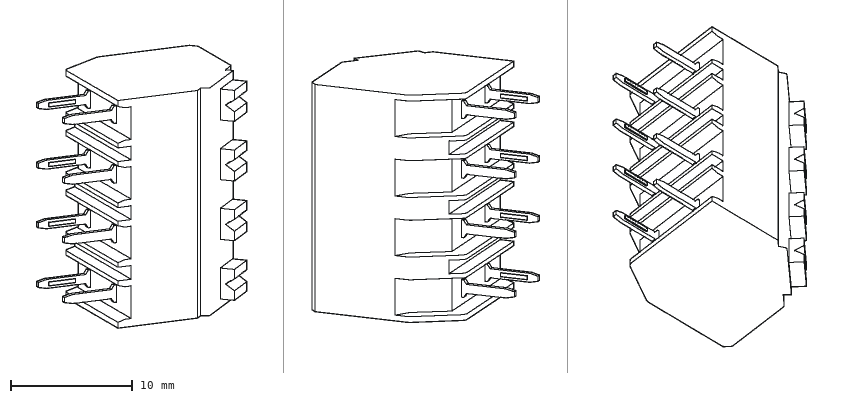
import cadquery as cq
import math

pole_count = 4
height = 19.44
pole_pitch = 5.1
first_pole_z = (height - (pole_count - 1) * pole_pitch) / 2
pole_heights = [first_pole_z + i * pole_pitch for i in range(pole_count)]

width = 12.7
depth = 12.93
back_chamfer = 0.52
slant_x = 2.4
slant_y = 4.06
slant_top_radius = 0.93
slant_bottom_radius = 0.55
groove_start_x = 7.0
groove_start_radius = 0.3
groove_bottom_x = 7.99
tab_x = 8.44
tab_y = 12.45
nub_x = 12.48
nub_radius = 0.23
notch_x = 12.17
notch_y = 7.74

recess_depth = 1.2
recess_corner_x = 2.35
recess_side_y = 5.29
pole_recess_height = 3.15
flange_chamfer_height = 0.185
flange_chamfer_width = 0.62
slot_height = 1.17

button_length = 3.0
button_height = 1.25
button_thickness = 2.65
button_gap_to_tab = 0.14
button_groove_width = 1.01
button_groove_depth = 0.78

left_pin_x = 4.57
right_pin_x = 9.6
pin_thickness = 0.39
pin_width = 0.78
pin_tip_width = 0.45
pin_tip_y = -3.5
pin_taper_length = 0.74
collar_width = 1.5
collar_end_y = 1.01
collar_taper_length = 0.25
pin_embed = 0.2
rib_height = 0.107
rib_width = 0.33
rib_start_y = -0.2
rib_end_y = -2.59


def prism(points, z_start, z_end):
    """Extrude a closed XY polygon between two heights."""
    return cq.Workplane("XY").workplane(offset=z_start).polyline(points).close().extrude(z_end - z_start)


def round_edge(solid, x, y, radius):
    """Round the vertical edge nearest to a point in plan."""
    edge = cq.selectors.NearestToPointSelector((x, y, height / 2))
    return solid.edges("|Z").edges(edge).fillet(radius)


def make_envelope():
    """Full-height housing outline with its rounded corners."""
    groove_bottom_y = depth - (groove_bottom_x - groove_start_x)
    nub_y = tab_y - (nub_x - tab_x)
    outline = [
        (slant_x, 0),
        (width, 0),
        (width, notch_y - (width - notch_x)),
        (notch_x, notch_y),
        (nub_x, nub_y),
        (tab_x, tab_y),
        (groove_bottom_x, groove_bottom_y),
        (groove_start_x, depth),
        (back_chamfer, depth),
        (0, depth - back_chamfer),
        (0, slant_y),
    ]
    solid = prism(outline, 0, height)
    solid = round_edge(solid, slant_x, 0, slant_bottom_radius)
    solid = round_edge(solid, 0, slant_y, slant_top_radius)
    solid = round_edge(solid, groove_start_x, depth, groove_start_radius)
    return round_edge(solid, nub_x, nub_y, nub_radius)


def make_core(envelope):
    """Part of the housing behind the recess walls, which roughly follow the outline."""
    wall_region = [
        (recess_corner_x, recess_depth),
        (width, recess_depth),
        (width, depth),
        (0, depth),
        (0, recess_side_y),
    ]
    return envelope.intersect(prism(wall_region, 0, height))


def make_flange(z_bottom, z_top):
    """Flange between two recesses, thinning towards its outer edge on both sides."""
    overhang = 2 * flange_chamfer_width
    rear_y = recess_side_y + overhang
    outline = [
        (slant_x, 0),
        (width + overhang, 0),
        (width + overhang, rear_y),
        (0, rear_y),
        (0, slant_y),
        (slant_x, 0),
    ]
    face = cq.Sketch().polygon(outline)
    side_corner = cq.selectors.NearestToPointSelector((0, slant_y, 0))
    face = face.vertices(side_corner).fillet(slant_top_radius).reset()
    taper_angle = math.degrees(math.atan2(flange_chamfer_width, flange_chamfer_height))
    upper_side = cq.Workplane("XY").workplane(offset=z_top).placeSketch(face)
    lower_side = cq.Workplane("XY").workplane(offset=z_bottom).placeSketch(face)
    flange = lower_side.extrude(z_top - z_bottom)
    flange = flange.union(upper_side.extrude(flange_chamfer_height, taper=taper_angle))
    return flange.union(lower_side.extrude(-flange_chamfer_height, taper=taper_angle))


def make_slot(z):
    """Slot that splits the flange between two neighbouring poles."""
    slot = cq.Workplane("XY").box(width, recess_depth, slot_height, centered=(False, False, True))
    return slot.translate((0, 0, z))


def make_housing():
    """Housing with one recess per pole and a slotted flange between the poles."""
    envelope = make_envelope()
    recess_bottoms = [z - pole_recess_height / 2 for z in pole_heights]
    recess_tops = [z + pole_recess_height / 2 for z in pole_heights]
    housing = make_core(envelope)
    for z_bottom, z_top in zip([0.0] + recess_tops, recess_bottoms + [height]):
        housing = housing.union(make_flange(z_bottom, z_top).intersect(envelope))
    for z in pole_heights[:-1]:
        housing = housing.cut(make_slot(z + pole_pitch / 2))
    return housing


def make_button():
    """Push button with a V groove along its face, centred on Z = 0."""
    half_thickness = button_thickness / 2
    half_groove = button_groove_width / 2
    profile = [
        (0, -half_thickness),
        (button_height, -half_thickness),
        (button_height, -half_groove),
        (button_height - button_groove_depth, 0),
        (button_height, half_groove),
        (button_height, half_thickness),
        (0, half_thickness),
    ]
    start_shift = button_gap_to_tab / math.sqrt(2)
    face_plane = cq.Plane(
        origin=(tab_x + start_shift, tab_y - start_shift, 0),
        xDir=(1, 1, 0),
        normal=(1, -1, 0),
    )
    return cq.Workplane(face_plane).polyline(profile).close().extrude(button_length)


def make_pin(rib_side):
    """Solder pin centred on the Z axis, with a stiffening rib on its +X or -X side."""
    upper_half = [
        (recess_depth + pin_embed, collar_width / 2),
        (collar_end_y, collar_width / 2),
        (collar_end_y - collar_taper_length, pin_width / 2),
        (pin_tip_y + pin_taper_length, pin_width / 2),
        (pin_tip_y, pin_tip_width / 2),
    ]
    lower_half = [(y, -z) for y, z in reversed(upper_half)]
    blade = cq.Workplane("YZ").polyline(upper_half + lower_half).close()
    blade = blade.extrude(pin_thickness / 2, both=True)
    rib = cq.Workplane("XY").box(pin_thickness / 2 + rib_height, rib_start_y - rib_end_y, rib_width)
    rib_x = rib_side * (pin_thickness / 2 + rib_height) / 2
    return blade.union(rib.translate((rib_x, (rib_start_y + rib_end_y) / 2, 0)))


button = make_button()
left_pin = make_pin(1).translate((left_pin_x, 0, 0))
right_pin = make_pin(-1).translate((right_pin_x, 0, 0))

result = make_housing()
for pole_z in pole_heights:
    for pole_part in (button, left_pin, right_pin):
        result = result.union(pole_part.translate((0, 0, pole_z)))